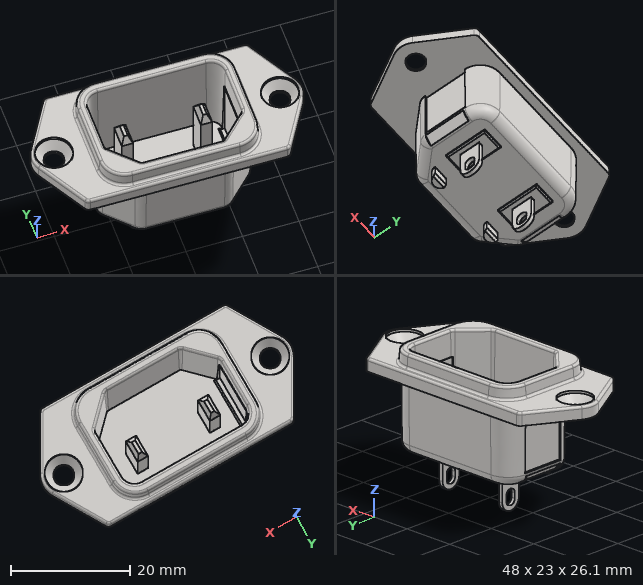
import cadquery as cq
import math

flange_length = 48.0
flange_width = 23.0
flange_thickness = 2.5
flange_end_radius = 4.0
flange_corner_radius = 0.95
flange_side_angle = 30.0
flange_edge_radius = 0.5
screw_x = flange_length / 2 - flange_end_radius
screw_diameter = 3.5
screw_head_diameter = 6.45
screw_head_recess = 0.5
screw_countersink_angle = 90.0

collar_length = 28.1
collar_width = 20.5
collar_height = 2.5
collar_corner_radius = 4.5
collar_draft = 5.0
collar_edge_radius = 0.5
collar_top = flange_thickness + collar_height

body_length = 27.6
body_width = 19.5
body_depth = 13.5
body_corner_radius = 4.2
body_bevel = 5.8
body_bevel_radius = 2.5
body_draft = 0.5
body_edge_radius = 1.9

cavity_length = 24.4
cavity_width = 16.5
cavity_corner_radius = 2.6
cavity_bevel = 4.9
cavity_bevel_radius = 1.0
cavity_draft = 1.5
cavity_rim_radius = 0.5
floor_thickness = 1.95
floor_z = floor_thickness - body_depth

relief_y_min = -3.35
relief_y_max = 5.85
groove_inner_x = 11.05
groove_depth = 0.4

recess_y_min = -3.0
recess_y_max = 5.55
recess_depth = 0.5
recess_height = 11.4
bevel_y_max = 5.15
end_bevel_top = 11.95

pin_spacing = 14.0
pin_y = 2.0
blade_thickness = 2.0
blade_width = 4.05
blade_top = 0.6
tip_thickness = 0.65
tip_width = 2.3
tip_height = 1.45
tail_thickness = 0.8
tail_bottom = -21.05
tail_offset = (blade_thickness - tail_thickness) / 2
eye_width = 2.0
eye_length = 3.0
tail_end_z = tail_bottom + blade_width / 2
eye_z = tail_end_z - eye_width / 2 + eye_length / 2

pad_length = 4.4
pad_width = 8.35
pad_height = 0.55
pad_chamfer = 0.3

post_radius = 1.5
post_flat_y = -5.05
post_bottom = -16.05
post_chamfer_width = 0.4
post_chamfer_height = 0.65

pin_positions = (-pin_spacing / 2, pin_spacing / 2)

slab_thickness = 0.5
cutter_overrun = 0.5
selection_margin = 0.05


def edges_within(length, width, plane_z):
    """Selector for the edges lying in one plane, inside a centred rectangle."""
    half_x = length / 2 + selection_margin
    half_y = width / 2 + selection_margin
    return cq.selectors.BoxSelector(
        (-half_x, -half_y, plane_z - selection_margin),
        (half_x, half_y, plane_z + selection_margin),
    )


def beveled_profile(plane_z, length, width, corner_radius, bevel, bevel_radius):
    """Rectangle with rounded +Y corners and softened 45 degree bevels at the -Y corners."""
    half_x = length / 2
    half_y = width / 2
    slab = (
        cq.Workplane("XY", origin=(0, 0, plane_z))
        .moveTo(-half_x, half_y)
        .lineTo(-half_x, bevel - half_y)
        .lineTo(bevel - half_x, -half_y)
        .lineTo(half_x - bevel, -half_y)
        .lineTo(half_x, bevel - half_y)
        .lineTo(half_x, half_y)
        .close()
        .extrude(slab_thickness)
    )
    slab = slab.edges("|Z and >Y").fillet(corner_radius)
    bevel_edges = cq.selectors.BoxSelector(
        (-length, -width, plane_z),
        (length, bevel - half_y + selection_margin, plane_z + slab_thickness),
    )
    slab = slab.edges("|Z").edges(bevel_edges).fillet(bevel_radius)
    return slab.faces("<Z").wires().val()


def tapered_down(wire, depth, draft):
    """Solid that narrows downward from the given outline."""
    return cq.Workplane("XY").add(wire).toPending().extrude(-depth, taper=draft)


def make_flange():
    slope = math.radians(flange_side_angle)
    half_y = flange_width / 2
    tangent_x = screw_x + flange_end_radius * math.cos(slope)
    tangent_y = flange_end_radius * math.sin(slope)
    corner_x = tangent_x - (half_y - tangent_y) * math.tan(slope)
    plate = (
        cq.Workplane("XY")
        .moveTo(-corner_x, half_y)
        .lineTo(corner_x, half_y)
        .lineTo(tangent_x, tangent_y)
        .threePointArc((flange_length / 2, 0), (tangent_x, -tangent_y))
        .lineTo(corner_x, -half_y)
        .lineTo(-corner_x, -half_y)
        .lineTo(-tangent_x, -tangent_y)
        .threePointArc((-flange_length / 2, 0), (-tangent_x, tangent_y))
        .close()
        .extrude(flange_thickness)
    )
    plate = plate.edges("|Z and (>Y or <Y)").fillet(flange_corner_radius)
    return plate.faces(">Z").edges().fillet(flange_edge_radius)


def add_collar(flange):
    collar = (
        cq.Workplane("XY", origin=(0, 0, flange_thickness))
        .sketch()
        .rect(collar_length, collar_width)
        .vertices()
        .fillet(collar_corner_radius)
        .finalize()
        .extrude(collar_height, taper=collar_draft)
    )
    joined = flange.union(collar.faces(">Z").edges().fillet(collar_edge_radius))
    foot = edges_within(collar_length, collar_width, flange_thickness)
    return joined.edges(foot).fillet(collar_edge_radius)


def make_body():
    wire = beveled_profile(0, body_length, body_width, body_corner_radius, body_bevel, body_bevel_radius)
    body = tapered_down(wire, body_depth, body_draft)
    return body.faces("<Z").edges().fillet(body_edge_radius)


def make_cavity():
    wire = beveled_profile(
        collar_top, cavity_length, cavity_width, cavity_corner_radius, cavity_bevel, cavity_bevel_radius
    )
    return tapered_down(wire, collar_top - floor_z, cavity_draft)


def end_prism(points, y_min, y_max):
    """XZ outline of the +X end, extruded from y_min to y_max, with its mirror image at the -X end."""
    prism = cq.Workplane("XZ", origin=(0, y_max, 0)).polyline(points).close().extrude(y_max - y_min)
    return prism.union(prism.mirror("YZ"))


def make_reliefs():
    wall_x = cavity_length / 2
    groove_z = floor_z - groove_depth
    outline = [
        (groove_inner_x, floor_z),
        (groove_inner_x + groove_depth, groove_z),
        (wall_x, groove_z),
        (wall_x, 0),
        (groove_inner_x, 0),
    ]
    return end_prism(outline, relief_y_min, relief_y_max)


def make_end_recesses():
    inner_x = body_length / 2 - recess_depth
    outer_x = body_length / 2 + cutter_overrun
    outline = [(inner_x, 0), (outer_x, 0), (outer_x, -recess_height), (inner_x, -recess_height)]
    return end_prism(outline, recess_y_min, recess_y_max)


def make_end_bevels():
    bevel_x = body_length / 2 - body_depth * math.tan(math.radians(body_draft))
    bevel_size = body_depth - end_bevel_top
    outline = [(bevel_x, -end_bevel_top), (bevel_x, -body_depth), (bevel_x - bevel_size, -body_depth)]
    return end_prism(outline, recess_y_min, bevel_y_max)


def make_screw_hole(x):
    radius = screw_diameter / 2
    head_radius = screw_head_diameter / 2
    cone_height = (head_radius - radius) / math.tan(math.radians(screw_countersink_angle / 2))
    cone_top = flange_thickness - screw_head_recess
    return (
        cq.Workplane("XZ", origin=(x, 0, 0))
        .polyline([
            (0, 0),
            (radius, 0),
            (radius, cone_top - cone_height),
            (head_radius, cone_top),
            (head_radius, flange_thickness),
            (0, flange_thickness),
        ])
        .close()
        .revolve(360, (0, 0, 0), (0, 1, 0))
    )


def make_pad(x):
    pad = cq.Workplane("XY", origin=(x, pin_y, -body_depth)).rect(pad_length, pad_width).extrude(-pad_height)
    return pad.faces("<Z").edges().chamfer(pad_chamfer)


def make_post(x):
    """Half-round post, flat towards +Y, with the lower edge of the flat chamfered."""
    top_z = floor_z - floor_thickness / 2
    post = (
        cq.Workplane("XY", origin=(x, post_flat_y, top_z))
        .moveTo(-post_radius, 0)
        .threePointArc((0, -post_radius), (post_radius, 0))
        .close()
        .extrude(post_bottom - top_z)
    )
    chamfer = (
        cq.Workplane("YZ", origin=(x - post_radius, 0, 0))
        .polyline([
            (post_flat_y, post_bottom),
            (post_flat_y - post_chamfer_width, post_bottom),
            (post_flat_y, post_bottom + post_chamfer_height),
        ])
        .close()
        .extrude(2 * post_radius)
    )
    return post.cut(chamfer)


def make_tail(x):
    """Solder tail with a round end, without its eye, from the cavity floor down."""
    height = floor_z - tail_end_z
    tail_plane = cq.Workplane("YZ", origin=(x + tail_offset - tail_thickness / 2, pin_y, 0))
    strip = tail_plane.center(0, tail_end_z + height / 2).rect(blade_width, height).extrude(tail_thickness)
    end = tail_plane.center(0, tail_end_z).circle(blade_width / 2).extrude(tail_thickness)
    return strip.union(end)


def make_pin(x):
    """Contact pin: a blade with a pyramid tip standing on the floor, and its solder tail."""
    shoulder_z = blade_top - tip_height
    blade = (
        cq.Workplane("XY", origin=(x, pin_y, floor_z))
        .rect(blade_thickness, blade_width)
        .extrude(shoulder_z - floor_z)
    )
    tip = (
        cq.Workplane("XY", origin=(x, pin_y, shoulder_z))
        .rect(blade_thickness, blade_width)
        .workplane(offset=tip_height)
        .rect(tip_thickness, tip_width)
        .loft(ruled=True)
    )
    eye = (
        cq.Workplane("YZ", origin=(x - blade_thickness, pin_y, eye_z))
        .slot2D(eye_length, eye_width, 90)
        .extrude(2 * blade_thickness)
    )
    return blade.union(tip).union(make_tail(x)).cut(eye)


def make_housing():
    housing = add_collar(make_flange()).union(make_body())
    housing = housing.cut(make_cavity())
    rim = edges_within(cavity_length, cavity_width, collar_top)
    housing = housing.edges(rim).fillet(cavity_rim_radius)
    housing = housing.cut(make_reliefs()).cut(make_end_recesses()).cut(make_end_bevels())
    for screw_hole_x in (-screw_x, screw_x):
        housing = housing.cut(make_screw_hole(screw_hole_x))
    for x in pin_positions:
        housing = housing.union(make_pad(x)).union(make_post(x)).cut(make_tail(x))
    return housing


housing = make_housing()
pins = [make_pin(x) for x in pin_positions]

result = cq.Compound.makeCompound([housing.solids().val(), *[pin.solids().val() for pin in pins]])